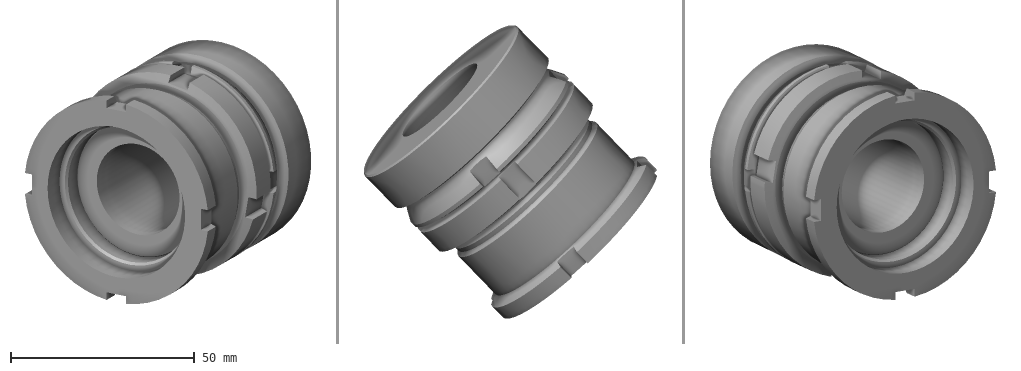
import cadquery as cq
import math


outer_radius = 58.0 / 2
stem_radius = 20.0
hole_radius = 13.05

slot_count = 4
slot_width = 6.1
slot_floor_radius = 26.65
nut_slot_turn = 9.8

flange_thickness = 4.3
sleeve_radius = 26.05
flange_cone_angle = 30
flange_cone_length = (outer_radius - sleeve_radius) * math.tan(math.radians(flange_cone_angle))
shoulder_start = 20.75
shoulder_radius = 25.05
sleeve_chamfer = 1.05
sleeve_length = 24.1
counterbore_radius = 21.7
counterbore_depth = 6.35
bore_radius = 19.35
bore_chamfer_length = 0.6

bevel_radial = 2.2
bevel_axial = 0.7

nut_front = 25.0
nut_rear = 34.0
nut_bevel_radial = 2.9
nut_bevel_axial = 0.75

stem_front = 11.65
stem_tip_radius = 19.1
neck_radius = 18.9
collar_front = 34.45
sphere_center = 23.4
sphere_radius = 31.7

ring_front = 42.1
ring_rear = 55.2
ring_hole_radius = 14.0
ring_rear_chamfer = 0.45
ring_tilt = 0.75
ring_tilt_axis = (0.6, 0, -0.6)


def sphere_y(radius):
    """Axial position where the rear half of the sphere has the given radius about Y."""
    return sphere_center + math.sqrt(sphere_radius**2 - radius**2)


def sphere_point(y):
    """Profile point of the sphere at the given axial position."""
    return (math.sqrt(sphere_radius**2 - (y - sphere_center) ** 2), y)


def tip_chamfer_y(radius):
    """Axial position where the 45 degree chamfer of the stem tip has the given radius."""
    return stem_front + radius - stem_tip_radius


def profile():
    """Empty (radius, y) profile in the half plane through the -X direction."""
    return cq.Workplane(cq.Plane(origin=(0, 0, 0), xDir=(-1, 0, 0), normal=(0, 0, -1)))


def revolve(outline):
    """Turn a closed profile around the Y axis."""
    return outline.close().revolve(360, (0, 0), (0, 1))


def cut_slots(body, front, rear, turn=0):
    """Cut flat-floored spanner slots into the rim between two axial positions."""
    depth = outer_radius
    slot = cq.Workplane("XY").box(slot_width, rear - front, depth, centered=(True, False, False))
    slot = slot.translate((0, front, slot_floor_radius))
    for i in range(slot_count):
        body = body.cut(slot.rotate((0, 0, 0), (0, 1, 0), turn + i * 360 / slot_count))
    return body


def make_base_sleeve():
    flange_end = flange_thickness + flange_cone_length
    shoulder_end = shoulder_start + sleeve_radius - shoulder_radius
    outline = (
        profile()
        .moveTo(counterbore_radius, 0)
        .lineTo(outer_radius, 0)
        .lineTo(outer_radius, flange_thickness)
        .lineTo(sleeve_radius, flange_end)
        .lineTo(sleeve_radius, shoulder_start)
        .lineTo(shoulder_radius, shoulder_end)
        .lineTo(shoulder_radius, sleeve_length - sleeve_chamfer)
        .lineTo(shoulder_radius - sleeve_chamfer, sleeve_length)
        .lineTo(stem_radius, sleeve_length)
        .lineTo(stem_radius, tip_chamfer_y(stem_radius))
        .lineTo(bore_radius, tip_chamfer_y(bore_radius))
        .lineTo(bore_radius, counterbore_depth + bore_chamfer_length)
        .lineTo(stem_radius, counterbore_depth)
        .lineTo(counterbore_radius, counterbore_depth)
    )
    return cut_slots(revolve(outline), 0, flange_end)


def make_lock_nut():
    outline = (
        profile()
        .moveTo(stem_radius, nut_front)
        .lineTo(outer_radius - nut_bevel_radial, nut_front)
        .lineTo(outer_radius, nut_front + nut_bevel_axial)
        .lineTo(outer_radius, nut_rear - nut_bevel_axial)
        .lineTo(outer_radius - nut_bevel_radial, nut_rear)
        .lineTo(stem_radius, nut_rear)
    )
    return cut_slots(revolve(outline), nut_front, nut_rear, nut_slot_turn)


def make_stem():
    rim_end = sphere_y(outer_radius)
    sphere_end = sphere_y(hole_radius)
    outline = (
        profile()
        .moveTo(hole_radius, stem_front)
        .lineTo(stem_tip_radius, stem_front)
        .lineTo(stem_radius, tip_chamfer_y(stem_radius))
        .lineTo(stem_radius, nut_rear)
        .lineTo(neck_radius, nut_rear)
        .lineTo(neck_radius, collar_front)
        .lineTo(outer_radius - bevel_radial, collar_front)
        .lineTo(outer_radius, collar_front + bevel_axial)
        .lineTo(outer_radius, rim_end)
        .threePointArc(sphere_point((rim_end + sphere_end) / 2), (hole_radius, sphere_end))
    )
    return cut_slots(revolve(outline), collar_front, sphere_y(slot_floor_radius))


def make_seat_ring():
    seat_start = sphere_point(ring_front)
    seat_end = sphere_y(ring_hole_radius)
    outline = (
        profile()
        .moveTo(*seat_start)
        .lineTo(outer_radius - bevel_radial, ring_front)
        .lineTo(outer_radius, ring_front + bevel_axial)
        .lineTo(outer_radius, ring_rear - ring_rear_chamfer)
        .lineTo(outer_radius - ring_rear_chamfer, ring_rear)
        .lineTo(ring_hole_radius, ring_rear)
        .lineTo(ring_hole_radius, seat_end)
        .threePointArc(sphere_point((ring_front + seat_end) / 2), seat_start)
    )
    pivot = cq.Vector(0, sphere_center, 0)
    return revolve(outline).rotate(pivot, pivot + cq.Vector(*ring_tilt_axis), ring_tilt)


base_sleeve = make_base_sleeve()
lock_nut = make_lock_nut()
stem = make_stem()
seat_ring = make_seat_ring()

result = cq.Compound.makeCompound([base_sleeve.val(), lock_nut.val(), stem.val(), seat_ring.val()])